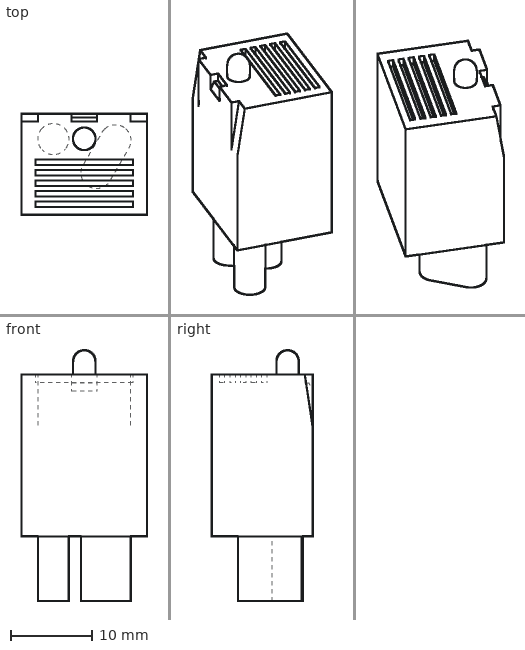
import cadquery as cq
import math

WIDTH = 15.5
DEPTH = 12.5
HEIGHT = 20.0
BACK = DEPTH / 2

TAPER_WIDTH = 2.0
TAPER_DEPTH = 1.0
TAPER_HEIGHT = 6.65

NOTCH_WIDTH = 3.1
NOTCH_DEPTH = TAPER_DEPTH
NOTCH_HEIGHT = 2.0
NOTCH_LEDGE = NOTCH_DEPTH / 2
NOTCH_RAMP_HEIGHT = 2 * NOTCH_LEDGE

VENT_COUNT = 5
VENT_LENGTH = 12.1
VENT_WIDTH = 0.65
VENT_PITCH = 1.3
VENT_DEPTH = 1.0
VENT_ROW_Y = -2.35

LEG_RADIUS = 1.92
LEG_LENGTH = 8.0
ROUND_LEG_X = -3.8
ROUND_LEG_Y = 3.1
LONG_LEG_X = 1.52
LONG_LEG_Y = -1.1
LONG_LEG_STRETCH = 4.65
LONG_LEG_ANGLE = 60.0

LAMP_RADIUS = 1.4
LAMP_HEIGHT = 3.0
LAMP_Y = 3.13


def side_profile_prism(points, width, center_x):
    """Extrude a (y, z) profile along X, centred on center_x."""
    prism = cq.Workplane("YZ").polyline(points).close().extrude(width / 2, both=True)
    return prism.translate((center_x, 0, 0))


def corner_taper(side):
    """Wedge removed from an upper back corner; side is -1 or 1."""
    profile = [
        (BACK - TAPER_DEPTH, HEIGHT),
        (BACK, HEIGHT),
        (BACK, HEIGHT - TAPER_HEIGHT),
    ]
    return side_profile_prism(profile, TAPER_WIDTH, side * (WIDTH - TAPER_WIDTH) / 2)


def back_notch():
    """Notch in the upper back edge, with a ledge and a ramp."""
    ledge_z = HEIGHT - NOTCH_HEIGHT + NOTCH_RAMP_HEIGHT
    profile = [
        (BACK - NOTCH_DEPTH, HEIGHT),
        (BACK, HEIGHT),
        (BACK, HEIGHT - NOTCH_HEIGHT),
        (BACK - NOTCH_DEPTH + NOTCH_LEDGE, ledge_z),
        (BACK - NOTCH_DEPTH, ledge_z),
    ]
    return side_profile_prism(profile, NOTCH_WIDTH, 0)


def vents():
    """Row of parallel slots cut down from the top face."""
    return (
        cq.Workplane("XY", origin=(0, VENT_ROW_Y, HEIGHT))
        .rarray(0.3, VENT_PITCH, 1, VENT_COUNT)
        .rect(VENT_LENGTH, VENT_WIDTH)
        .extrude(-VENT_DEPTH)
    )


def round_leg():
    return (
        cq.Workplane("XY")
        .center(ROUND_LEG_X, ROUND_LEG_Y)
        .circle(LEG_RADIUS)
        .extrude(-LEG_LENGTH)
    )


def long_leg():
    """Leg with two rounded ends and flat flanks."""
    angle = math.radians(LONG_LEG_ANGLE)
    middle_x = LONG_LEG_X + LONG_LEG_STRETCH / 2 * math.cos(angle)
    middle_y = LONG_LEG_Y + LONG_LEG_STRETCH / 2 * math.sin(angle)
    return (
        cq.Workplane("XY")
        .center(middle_x, middle_y)
        .slot2D(LONG_LEG_STRETCH + 2 * LEG_RADIUS, 2 * LEG_RADIUS, LONG_LEG_ANGLE)
        .extrude(-LEG_LENGTH)
    )


def make_housing():
    body = cq.Workplane("XY").box(WIDTH, DEPTH, HEIGHT, centered=(True, True, False))
    for side in (-1, 1):
        body = body.cut(corner_taper(side))
    body = body.cut(back_notch()).cut(vents())
    return body.union(round_leg()).union(long_leg())


def make_lamp():
    """Cylinder with a hemispherical tip."""
    stem_height = LAMP_HEIGHT - LAMP_RADIUS
    return (
        cq.Workplane("XZ", origin=(0, LAMP_Y, HEIGHT))
        .lineTo(LAMP_RADIUS, 0)
        .lineTo(LAMP_RADIUS, stem_height)
        .radiusArc((0, LAMP_HEIGHT), -LAMP_RADIUS)
        .close()
        .revolve(360, (0, 0, 0), (0, 1, 0))
    )


housing = make_housing()
lamp = make_lamp()
result = cq.Compound.makeCompound([housing.val(), lamp.val()])